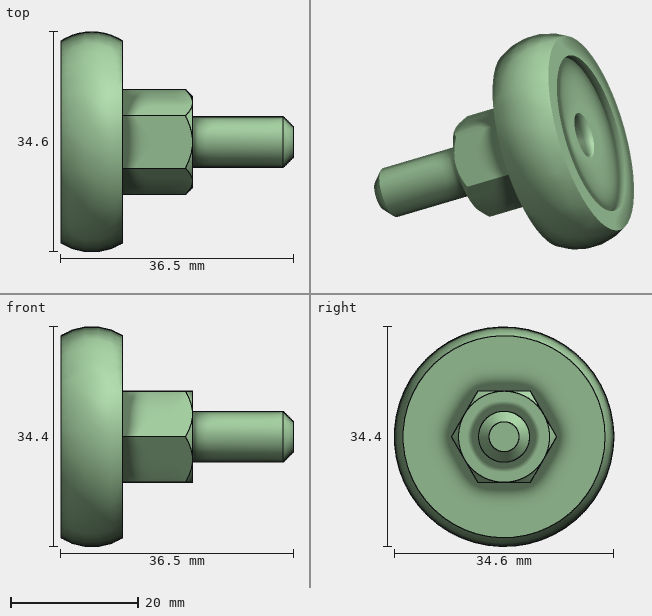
import cadquery as cq
import math

head_thickness = 9.68
head_face_radius = 15.85
head_crown_radius = 17.28

recess_diameter = 25.4
recess_depth = 1.2
dimple_diameter = 7.32
dimple_depth = dimple_diameter / 2

hex_across_flats = 14.29
hex_end_x = 20.64
hex_chamfer_angle = 45.0

stud_diameter = 8.0
stud_end_x = 36.51
stud_chamfer = 1.65

hex_across_corners = hex_across_flats / math.cos(math.radians(30))


def revolve_about_x(profile):
    """Revolve a closed profile, drawn in XY with Y as radius, about the X axis."""
    return profile.close().revolve(360, (0, 0, 0), (1, 0, 0))


def make_head():
    profile = (
        cq.Workplane("XY")
        .lineTo(0, head_face_radius)
        .threePointArc((head_thickness / 2, head_crown_radius), (head_thickness, head_face_radius))
        .lineTo(head_thickness, 0)
    )
    return revolve_about_x(profile)


def make_hex_shank():
    """Hexagon with flats facing +Z and -Z and its free end chamfered by a cone."""
    length = hex_end_x - head_thickness
    hexagon = (
        cq.Workplane("YZ")
        .workplane(offset=head_thickness)
        .polygon(6, hex_across_corners)
        .extrude(length)
    )
    corner_radius = hex_across_corners / 2
    end_radius = hex_across_flats / 2
    chamfer_length = (corner_radius - end_radius) / math.tan(math.radians(hex_chamfer_angle))
    envelope = (
        cq.Workplane("XY")
        .moveTo(head_thickness, 0)
        .lineTo(head_thickness, corner_radius)
        .lineTo(hex_end_x - chamfer_length, corner_radius)
        .lineTo(hex_end_x, end_radius)
        .lineTo(hex_end_x, 0)
    )
    return hexagon.intersect(revolve_about_x(envelope))


def make_stud():
    length = stud_end_x - hex_end_x
    return (
        cq.Workplane("YZ")
        .workplane(offset=hex_end_x)
        .circle(stud_diameter / 2)
        .extrude(length)
        .faces(">X")
        .chamfer(stud_chamfer)
    )


def make_face_cut():
    """Recess and the cone that sinks from its floor."""
    profile = (
        cq.Workplane("XY")
        .lineTo(0, recess_diameter / 2)
        .lineTo(recess_depth, recess_diameter / 2)
        .lineTo(recess_depth, dimple_diameter / 2)
        .lineTo(recess_depth + dimple_depth, 0)
    )
    return revolve_about_x(profile)


result = make_head().union(make_hex_shank()).union(make_stud()).cut(make_face_cut())